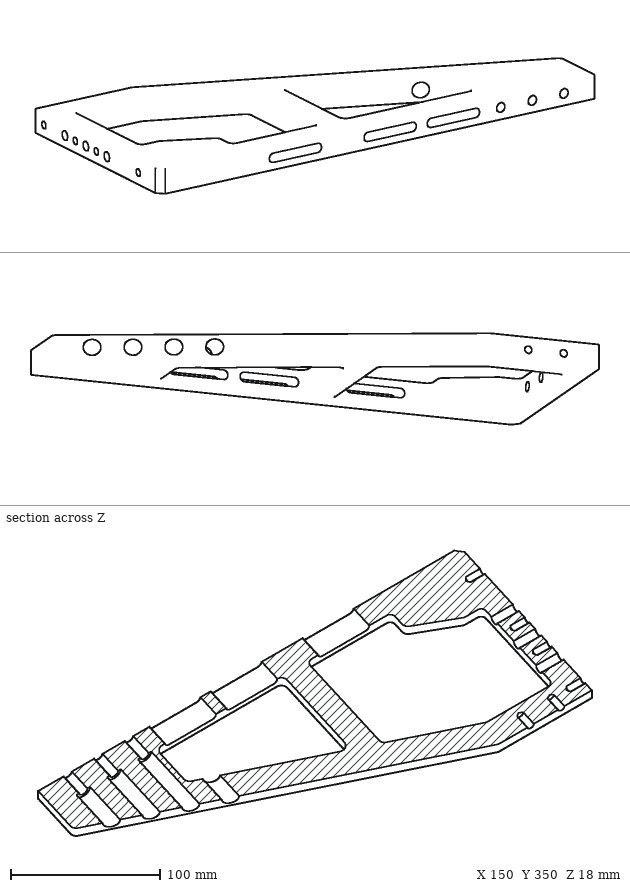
import cadquery as cq
import math

WIDTH = 150.0
LENGTH = 350.0
THICKNESS = 18.0
MID_Z = THICKNESS / 2
EDGE_RADIUS = 1.0

SHOULDER_Y = 77.5
SHOULDER_RADIUS = 6.0
TIP_X = 110.0
TIP_RADIUS = 5.0
CORNER_CHAMFER = 5.0
RAKE = math.atan2(TIP_X, LENGTH - SHOULDER_Y)

RAIL = 18.0
WIDE_RAIL = 20.0
RAKED_RAIL = 20.3
RIGHT_WALL_X = WIDTH - RAIL
CROSSBAR_BOTTOM_Y = 140.0
CROSSBAR_TOP_Y = CROSSBAR_BOTTOM_Y + WIDE_RAIL
UPPER_WINDOW_TOP_Y = 265.0
UPPER_WINDOW_RADIUS = 5.0
LOWER_WINDOW_RADIUS = 4.0

GUSSET_X = 100.0
GUSSET_SHOULDER_Y = 33.0
GUSSET_TOP_X = 117.0
GUSSET_TOP_Y = 70.0
GUSSET_RADIUS = 5.0

PITCH = 25.4
HALF_PITCH = PITCH / 2
CLEARANCE_DIAMETER = 6.6
COUNTERBORE_DIAMETER = 11.0
SIDE_TAP_STEPS = (1, 2)
BOLT_FIRST_Y = 249.2
BOLT_STEPS = (0, 1, 2, 3)
SLOT_STEPS = (-5.5, -2.5, -0.5)
SLOT_LENGTH = 42.0
FRONT_FIRST_X = 10.3
FRONT_CLEARANCE_STEPS = (2, 4, 6)
FRONT_TAP_STEPS = (0, 3, 5, 9)

TAP_DRILL_DIAMETER = 5.0
TAP_DEPTH = 12.0
DRILL_TIP_ANGLE = 118.0

ALONG_X = cq.Vector(1, 0, 0)
ALONG_Y = cq.Vector(0, 1, 0)


def raked_x(y, inset):
    """X of the raked side at the given Y, moved into the plate by inset."""
    return (y - SHOULDER_Y) * math.tan(RAKE) + inset / math.cos(RAKE)


def raked_y(x, inset):
    """Y at which the raked side, moved into the plate by inset, reaches the given X."""
    return SHOULDER_Y + (x - inset / math.cos(RAKE)) / math.tan(RAKE)


def rounded_prism(corners):
    """Full-thickness prism from (x, y, radius) corners; a zero radius stays sharp."""
    body = cq.Workplane("XY").polyline([(x, y) for x, y, _ in corners]).close().extrude(THICKNESS)
    for x, y, radius in corners:
        if radius > 0:
            upright = cq.selectors.NearestToPointSelector((x, y, MID_Z))
            body = body.edges("|Z").edges(upright).fillet(radius)
    return body


def make_plate():
    return rounded_prism([
        (0, 0, 0),
        (WIDTH - CORNER_CHAMFER, 0, 0),
        (WIDTH, CORNER_CHAMFER, 0),
        (WIDTH, LENGTH, 0),
        (TIP_X, LENGTH, TIP_RADIUS),
        (0, SHOULDER_Y, SHOULDER_RADIUS),
    ])


def make_upper_window():
    radius = UPPER_WINDOW_RADIUS
    return rounded_prism([
        (raked_x(CROSSBAR_TOP_Y, RAKED_RAIL), CROSSBAR_TOP_Y, radius),
        (RIGHT_WALL_X, CROSSBAR_TOP_Y, radius),
        (RIGHT_WALL_X, UPPER_WINDOW_TOP_Y, radius),
        (raked_x(UPPER_WINDOW_TOP_Y, RAKED_RAIL), UPPER_WINDOW_TOP_Y, radius),
    ])


def make_lower_window():
    return rounded_prism([
        (WIDE_RAIL, RAIL, LOWER_WINDOW_RADIUS),
        (GUSSET_X, RAIL, LOWER_WINDOW_RADIUS),
        (GUSSET_X, GUSSET_SHOULDER_Y, GUSSET_RADIUS),
        (GUSSET_TOP_X, GUSSET_TOP_Y, GUSSET_RADIUS),
        (RIGHT_WALL_X, GUSSET_TOP_Y, LOWER_WINDOW_RADIUS),
        (RIGHT_WALL_X, CROSSBAR_BOTTOM_Y, LOWER_WINDOW_RADIUS),
        (raked_x(CROSSBAR_BOTTOM_Y, RAKED_RAIL), CROSSBAR_BOTTOM_Y, LOWER_WINDOW_RADIUS),
        (WIDE_RAIL, raked_y(WIDE_RAIL, RAKED_RAIL), LOWER_WINDOW_RADIUS),
    ])


def bolt_point(x, step):
    """Point at the given X on the Y grid shared by the bolt holes and the slots."""
    return cq.Vector(x, BOLT_FIRST_Y + step * PITCH, MID_Z)


def front_point(step):
    """Point on the front edge at a half-pitch step of the front hole grid."""
    return cq.Vector(FRONT_FIRST_X + step * HALF_PITCH, 0, MID_Z)


def bore(start, direction, diameter, depth):
    return cq.Solid.makeCylinder(diameter / 2, depth, start, direction)


def tapped_hole(start, direction):
    """Blind drilled hole with a conical tip."""
    radius = TAP_DRILL_DIAMETER / 2
    tip_depth = radius / math.tan(math.radians(DRILL_TIP_ANGLE / 2))
    tip = cq.Solid.makeCone(radius, 0, tip_depth, start + direction * TAP_DEPTH, direction)
    return bore(start, direction, TAP_DRILL_DIAMETER, TAP_DEPTH).fuse(tip)


def cut_side_bolts(body):
    """Bolt holes through the raked side, counterbored down to a seat one rail from the right side."""
    for step in BOLT_STEPS:
        start = bolt_point(0, step)
        body = body.cut(bore(start, ALONG_X, CLEARANCE_DIAMETER, WIDTH))
        body = body.cut(bore(start, ALONG_X, COUNTERBORE_DIAMETER, RIGHT_WALL_X))
    return body


def cut_right_slots(body):
    """Adjustment slots through the right rail, lengthwise along Y."""
    for step in SLOT_STEPS:
        slot_plane = cq.Workplane("YZ", origin=bolt_point(RIGHT_WALL_X, step))
        body = body.cut(slot_plane.slot2D(SLOT_LENGTH, CLEARANCE_DIAMETER).extrude(RAIL))
    return body


def cut_front_holes(body):
    """Clearance holes through the front rail into the lower window, with tapped holes between."""
    for step in FRONT_CLEARANCE_STEPS:
        body = body.cut(bore(front_point(step), ALONG_Y, CLEARANCE_DIAMETER, RAIL))
    for step in FRONT_TAP_STEPS:
        body = body.cut(tapped_hole(front_point(step), ALONG_Y))
    return body


def cut_side_taps(body):
    """Tapped holes in the upright left side."""
    for step in SIDE_TAP_STEPS:
        body = body.cut(tapped_hole(cq.Vector(0, step * PITCH, MID_Z), ALONG_X))
    return body


frame = make_plate().cut(make_upper_window()).cut(make_lower_window())
frame = frame.faces("<Z or >Z").edges().fillet(EDGE_RADIUS)
frame = cut_side_bolts(frame)
frame = cut_right_slots(frame)
frame = cut_front_holes(frame)
frame = cut_side_taps(frame)

result = frame